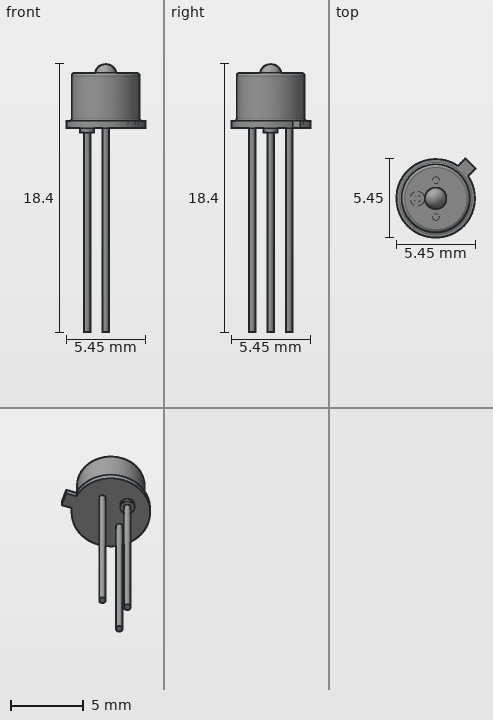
import cadquery as cq
import math

total_height = 18.41
lead_length = 14.01
lead_diameter = 0.46
lead_circle_radius = 1.27
boss_diameter = 1.0
boss_height = 0.31
flange_radius = 2.7
flange_thickness = 0.5
tab_width = 1.0
tab_corner_reach = 2.75
can_radius = 2.34
can_top = 3.8
can_top_fillet = 0.2
can_foot_fillet = 0.15
lens_radius = 0.75

tab_angle = 45.0
tab_length = tab_corner_reach * math.sqrt(2) - tab_width / 2
lens_height = total_height - lead_length - can_top
lens_base_depth = lens_radius - lens_height
lens_base_radius = math.sqrt(lens_radius**2 - lens_base_depth**2)
lead_angles = (90, 180, 270)
boss_angle = 180


def lead_position(angle):
    """Centre of the lead at this angle on the lead circle."""
    radians = math.radians(angle)
    return lead_circle_radius * math.cos(radians), lead_circle_radius * math.sin(radians)


def hanging_cylinder(angle, diameter, length):
    """Cylinder reaching down from the flange underside at a lead position."""
    return cq.Workplane("XY").center(*lead_position(angle)).circle(diameter / 2).extrude(-length)


def make_flange():
    """Round flange with its square-ended locating tab."""
    disc = cq.Workplane("XY").circle(flange_radius).extrude(flange_thickness)
    tab = cq.Workplane("XY").box(tab_length, tab_width, flange_thickness, centered=(False, True, False))
    return disc.union(tab.rotate((0, 0, 0), (0, 0, 1), tab_angle))


def make_can():
    """Revolved can with a rounded top edge and a concave fillet at its foot."""
    diagonal = math.sqrt(0.5)
    foot_mid = can_foot_fillet * (1 - diagonal)
    top_mid = can_top_fillet * (1 - diagonal)
    profile = (
        cq.Workplane("XZ")
        .moveTo(0, flange_thickness)
        .lineTo(can_radius + can_foot_fillet, flange_thickness)
        .threePointArc(
            (can_radius + foot_mid, flange_thickness + foot_mid),
            (can_radius, flange_thickness + can_foot_fillet),
        )
        .lineTo(can_radius, can_top - can_top_fillet)
        .threePointArc(
            (can_radius - top_mid, can_top - top_mid),
            (can_radius - can_top_fillet, can_top),
        )
        .lineTo(0, can_top)
        .close()
    )
    return profile.revolve(360, (0, 0, 0), (0, 1, 0))


def make_housing():
    """Can, flange, leads and the boss around one lead, all one body."""
    housing = make_flange().union(make_can())
    housing = housing.union(hanging_cylinder(boss_angle, boss_diameter, boss_height))
    for angle in lead_angles:
        housing = housing.union(hanging_cylinder(angle, lead_diameter, lead_length))
    return housing


def make_lens():
    """Spherical dome resting on the flat top of the can."""
    mid_reach = lens_radius * math.sqrt(0.5)
    profile = (
        cq.Workplane("XZ", origin=(0, 0, can_top))
        .lineTo(lens_base_radius, 0)
        .threePointArc((mid_reach, mid_reach - lens_base_depth), (0, lens_height))
        .close()
    )
    return profile.revolve(360, (0, 0, 0), (0, 1, 0))


housing = make_housing()
lens = make_lens()
result = cq.Compound.makeCompound([housing.solids().val(), lens.val()])